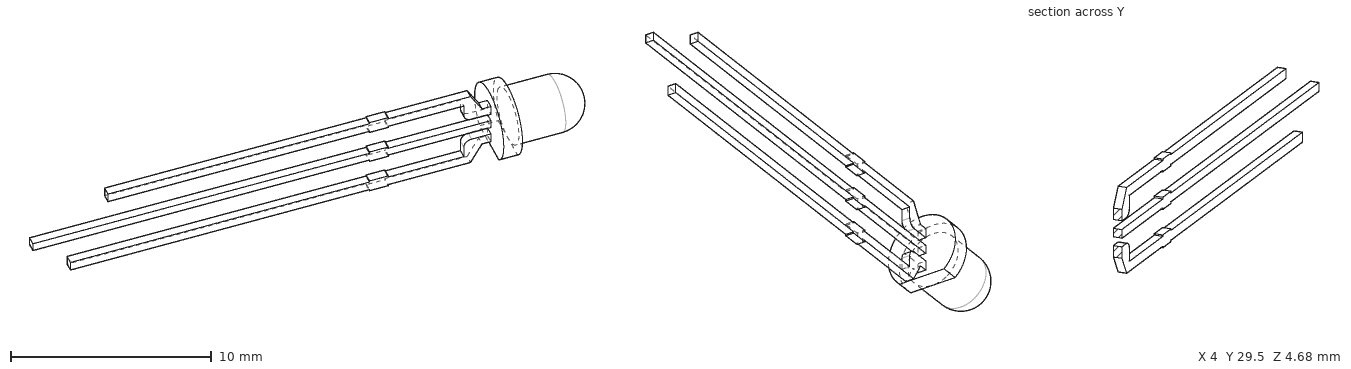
import cadquery as cq

TOTAL_LENGTH = 29.5
LENS_RADIUS = 1.5
BODY_LENGTH = 5.02
FLANGE_RADIUS = 2.0
FLANGE_THICKNESS = 1.0
FLANGE_FLAT_DEPTH = LENS_RADIUS

LEAD_WIDTH = 0.47
CENTER_LEAD_HEIGHT = 0.47
OUTER_LEAD_HEIGHT = 0.53
LEAD_STEP = 2.0
LEAD_PITCH = 2.0
ROOT_PITCH = 0.95

BEND_START = 0.47
BEND_END = 1.1
BEND_SHOULDER = 1.45
SHOULDER_RADIUS = 0.4

COLLAR_START = 5.5
COLLAR_LENGTH = 1.0
CENTER_COLLAR_HEIGHT = 0.65
OUTER_COLLAR_HEIGHT = 0.68

CENTER_LEAD_LENGTH = TOTAL_LENGTH - BODY_LENGTH
LOWER_LEAD_LENGTH = CENTER_LEAD_LENGTH - LEAD_STEP
UPPER_LEAD_LENGTH = LOWER_LEAD_LENGTH - LEAD_STEP
DOME_START = BODY_LENGTH - LENS_RADIUS
LEAD_OVERLAP = FLANGE_THICKNESS / 2


def make_lens():
    """Cylinder with a hemispherical end, revolved about the Y axis."""
    return (
        cq.Workplane("YZ")
        .lineTo(0, LENS_RADIUS)
        .lineTo(DOME_START, LENS_RADIUS)
        .radiusArc((BODY_LENGTH, 0), LENS_RADIUS)
        .close()
        .revolve(360, (0, 0), (1, 0))
    )


def make_flange():
    """Round flange with one flat facing -Z."""
    flat_cutter = (
        cq.Workplane("XY")
        .box(2 * FLANGE_RADIUS, FLANGE_THICKNESS, FLANGE_RADIUS, centered=(True, False, False))
        .translate((0, 0, -FLANGE_FLAT_DEPTH - FLANGE_RADIUS))
    )
    disc = cq.Workplane("XZ").circle(FLANGE_RADIUS).extrude(-FLANGE_THICKNESS)
    return disc.cut(flat_cutter)


def make_bar(start, end, height, z_center):
    """Rectangular bar running toward -Y between two distances below the flange base."""
    return (
        cq.Workplane("XY")
        .box(LEAD_WIDTH, end - start, height)
        .translate((0, -(start + end) / 2, z_center))
    )


def make_collar(height, z_center):
    return make_bar(COLLAR_START, COLLAR_START + COLLAR_LENGTH, height, z_center)


def make_center_lead():
    lead = make_bar(-LEAD_OVERLAP, CENTER_LEAD_LENGTH, CENTER_LEAD_HEIGHT, 0)
    return lead.union(make_collar(CENTER_COLLAR_HEIGHT, 0))


def make_outer_lead(length):
    """Upper lead that steps outward from its root to the full pitch."""
    half = OUTER_LEAD_HEIGHT / 2
    root_inner = ROOT_PITCH - half
    root_outer = ROOT_PITCH + half
    lead_inner = LEAD_PITCH - half
    lead_outer = LEAD_PITCH + half
    lead = (
        cq.Workplane("YZ")
        .moveTo(LEAD_OVERLAP, root_outer)
        .lineTo(-BEND_START, root_outer)
        .lineTo(-BEND_END, lead_outer)
        .lineTo(-length, lead_outer)
        .lineTo(-length, lead_inner)
        .lineTo(-BEND_SHOULDER, lead_inner)
        .lineTo(-BEND_SHOULDER, root_inner + SHOULDER_RADIUS)
        .radiusArc((SHOULDER_RADIUS - BEND_SHOULDER, root_inner), -SHOULDER_RADIUS)
        .lineTo(LEAD_OVERLAP, root_inner)
        .close()
        .extrude(LEAD_WIDTH / 2, both=True)
    )
    return lead.union(make_collar(OUTER_COLLAR_HEIGHT, LEAD_PITCH))


upper_lead = make_outer_lead(UPPER_LEAD_LENGTH)
lower_lead = make_outer_lead(LOWER_LEAD_LENGTH).mirror("XY")

result = make_flange().union(make_lens())
for lead in (make_center_lead(), upper_lead, lower_lead):
    result = result.union(lead)